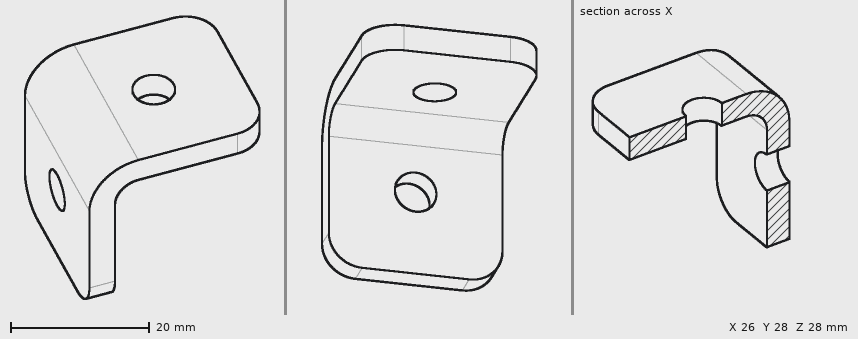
import cadquery as cq

width = 26.0
leg_length = 28.0
thickness = 4.0
inner_bend_radius = 3.6
corner_radius = 5.0
hole_diameter = 6.2
hole_to_free_end = 13.0

outer_bend_radius = inner_bend_radius + thickness
hole_offset = leg_length - hole_to_free_end


def bent_plate():
    """L-shaped plate: outer faces on Y = 0 and Z = 0, legs along +Y and -Z, centred on X."""
    profile = (
        cq.Workplane("YZ")
        .moveTo(outer_bend_radius, 0)
        .lineTo(leg_length, 0)
        .lineTo(leg_length, -thickness)
        .lineTo(outer_bend_radius, -thickness)
        .radiusArc((thickness, -outer_bend_radius), -inner_bend_radius)
        .lineTo(thickness, -leg_length)
        .lineTo(0, -leg_length)
        .lineTo(0, -outer_bend_radius)
        .radiusArc((outer_bend_radius, 0), outer_bend_radius)
        .close()
    )
    return profile.extrude(width / 2, both=True)


def round_free_corners(plate):
    """Round the two corners at the free end of each leg."""
    plate = plate.faces(">Y").edges("|Z").fillet(corner_radius)
    return plate.faces("<Z").edges("|Y").fillet(corner_radius)


def leg_holes():
    """One through-hole cutter for each leg, on the centre line of the part."""
    hole_radius = hole_diameter / 2
    top_hole = cq.Workplane("XY").center(0, hole_offset).circle(hole_radius).extrude(-thickness)
    front_hole = cq.Workplane("XZ").center(0, -hole_offset).circle(hole_radius).extrude(-thickness)
    return top_hole.union(front_hole)


result = round_free_corners(bent_plate()).cut(leg_holes())